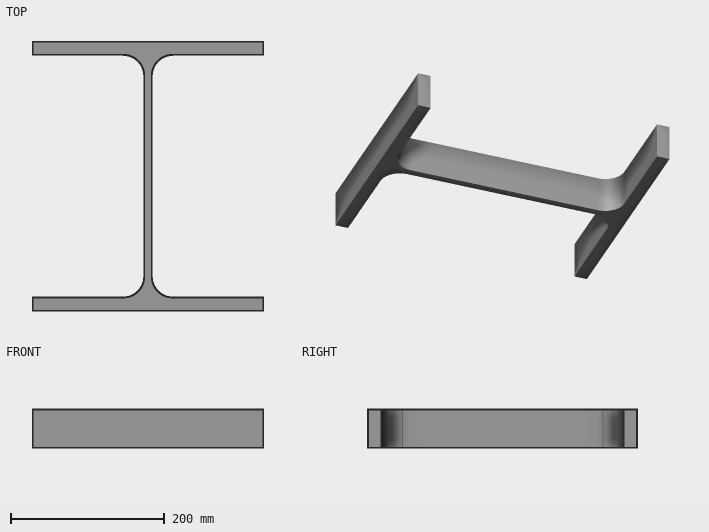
import cadquery as cq

section_depth = 350.0
flange_width = 300.0
flange_thickness = 17.5
web_thickness = 10.0
root_radius = 27.0
beam_length = 50.0

flange_offset = (section_depth - flange_thickness) / 2


def section_block(width, depth, center_y=0.0):
    """Rectangular bar of the beam, standing on the XY plane."""
    return cq.Workplane("XY").center(0, center_y).rect(width, depth).extrude(beam_length)


beam = section_block(web_thickness, section_depth)
for side in (-1, 1):
    beam = beam.union(section_block(flange_width, flange_thickness, side * flange_offset))

root_zone = cq.selectors.BoxSelector(
    (-web_thickness, -flange_offset, 0),
    (web_thickness, flange_offset, beam_length),
)
result = beam.edges("|Z").edges(root_zone).fillet(root_radius)